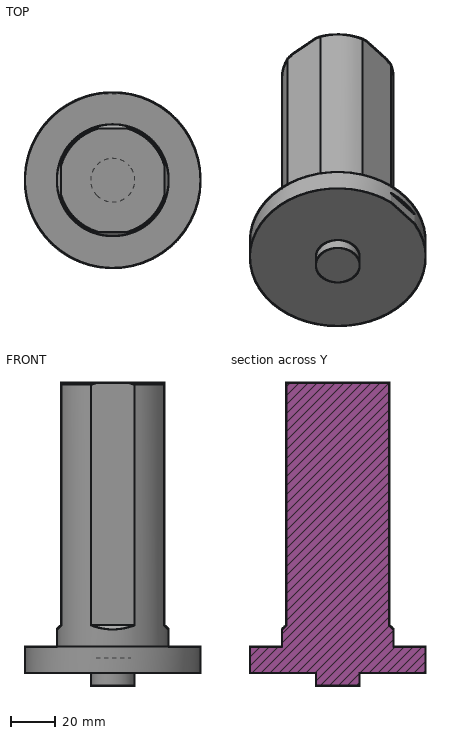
import cadquery as cq

total_height = 137.8
spigot_diameter = 20.0
spigot_height = 5.8
flange_diameter = 80.0
flange_top = 17.8

shaft_diameter = 50.9
across_flats = 46.9
flats_bottom = 27.6
flat_runout_height = 1.9
top_chamfer = 1.0

rim_flat_depth = 0.8
rim_flat_height = 6.9

shaft_radius = shaft_diameter / 2
flat_offset = across_flats / 2


def cylinder(diameter, bottom, top):
    return cq.Workplane("XY").workplane(offset=bottom).circle(diameter / 2).extrude(top - bottom)


def make_shaft():
    shaft = cylinder(shaft_diameter, flange_top, total_height)
    shaft = shaft.faces(">Z").chamfer(top_chamfer)
    flat_cutter = (
        cq.Workplane("XZ")
        .moveTo(flat_offset, total_height)
        .lineTo(flat_offset, flats_bottom)
        .lineTo(shaft_radius, flats_bottom - flat_runout_height)
        .lineTo(shaft_radius, total_height)
        .close()
        .extrude(shaft_radius, both=True)
    )
    for angle in (0, 90, 180, 270):
        shaft = shaft.cut(flat_cutter.rotate((0, 0, 0), (0, 0, 1), angle))
    return shaft


def make_flange():
    flange = cylinder(flange_diameter, spigot_height, flange_top)
    rim_cutter = cq.Workplane("XY").box(
        flange_diameter, rim_flat_depth, rim_flat_height, centered=(True, False, False)
    )
    rim_flat_offset = flange_diameter / 2 - rim_flat_depth
    return flange.cut(rim_cutter.translate((0, rim_flat_offset, spigot_height)))


result = cylinder(spigot_diameter, 0, spigot_height)
result = result.union(make_flange())
result = result.union(make_shaft())